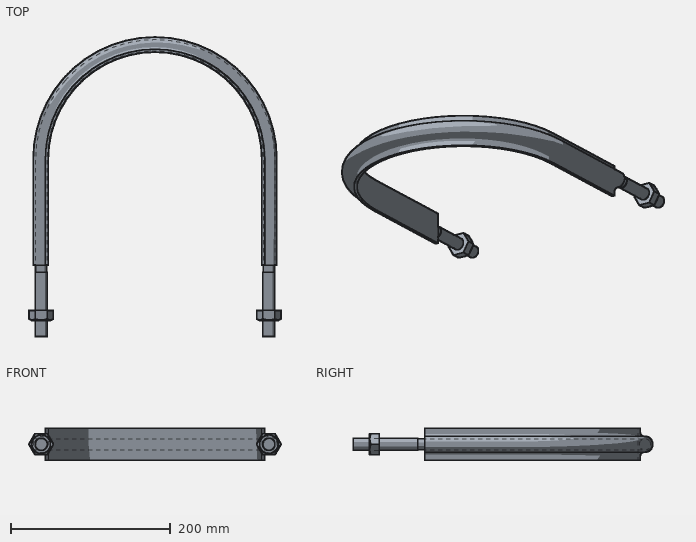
import cadquery as cq
import math

crown_y = 187.5
rod_end_y = -187.5
leg_x = 142.5

shank_dia = 14.3
thread_dia = 15.5
thread_start_y = -107.0

sleeve_radius = 10.0
strip_inner_x = 133.5
strip_thickness = 3.8
strip_height = 40.0
root_fillet = 4.0
liner_end_y = -98.3

nut_corner_dia = 30.8
nut_height = 12.8
nut_top_y = -155.0
nut_face_dia = 23.3
nut_chamfer_angle = 30.0

bend_y = crown_y - leg_x - sleeve_radius


def bend_plane():
    """Section plane across the legs; local x is X, local y is Z, normal is -Y."""
    return cq.Workplane("XZ", origin=(0, bend_y, 0))


def sweep_u(outline, leg_end_y):
    """U-shaped solid from a closed section of the right leg: two legs and a half-turn bend."""
    section = outline.wires().val()
    leg = bend_plane().add(section).toPending().extrude(bend_y - leg_end_y)
    bend = bend_plane().add(section).toPending().revolve(180, (0, 0, 0), (0, 1, 0))
    return leg.union(leg.mirror("YZ")).union(bend)


def make_rod():
    rod = sweep_u(bend_plane().moveTo(leg_x, 0).circle(shank_dia / 2), thread_start_y)
    for side in (-1, 1):
        thread = (
            cq.Workplane("XZ", origin=(side * leg_x, thread_start_y, 0))
            .circle(thread_dia / 2)
            .extrude(thread_start_y - rod_end_y)
        )
        rod = rod.union(thread)
    return rod


def liner_section():
    """Strip with a round-backed sleeve that meets it through small root fillets."""
    strip_outer_x = strip_inner_x + strip_thickness
    half_height = strip_height / 2
    root_z = sleeve_radius + root_fillet
    return (
        bend_plane()
        .moveTo(strip_inner_x, -half_height)
        .lineTo(strip_outer_x, -half_height)
        .lineTo(strip_outer_x, -root_z)
        .radiusArc((strip_outer_x + root_fillet, -sleeve_radius), root_fillet)
        .lineTo(leg_x, -sleeve_radius)
        .threePointArc((leg_x + sleeve_radius, 0), (leg_x, sleeve_radius))
        .lineTo(strip_outer_x + root_fillet, sleeve_radius)
        .radiusArc((strip_outer_x, root_z), root_fillet)
        .lineTo(strip_outer_x, half_height)
        .lineTo(strip_inner_x, half_height)
        .close()
    )


def make_liner():
    bore = sweep_u(bend_plane().moveTo(leg_x, 0).circle(shank_dia / 2), liner_end_y)
    return sweep_u(liner_section(), liner_end_y).cut(bore)


def make_nut(side):
    """Hexagon nut with corners on the X axis and chamfered toward the rod end."""
    seat = cq.Workplane("XZ", origin=(side * leg_x, nut_top_y, 0))
    hexagon = seat.polygon(6, nut_corner_dia).extrude(nut_height)
    chamfer_run = (nut_corner_dia - nut_face_dia) / 2
    chamfer_depth = chamfer_run * math.tan(math.radians(nut_chamfer_angle))
    envelope = seat.circle(nut_corner_dia / 2).extrude(nut_height)
    envelope = envelope.faces("<Y").chamfer(chamfer_depth, chamfer_run)
    hole = seat.circle(thread_dia / 2).extrude(nut_height)
    return hexagon.intersect(envelope).cut(hole)


rod = make_rod()
liner = make_liner()
nuts = [make_nut(side) for side in (-1, 1)]

result = cq.Compound.makeCompound([rod.val(), liner.val(), *[nut.val() for nut in nuts]])